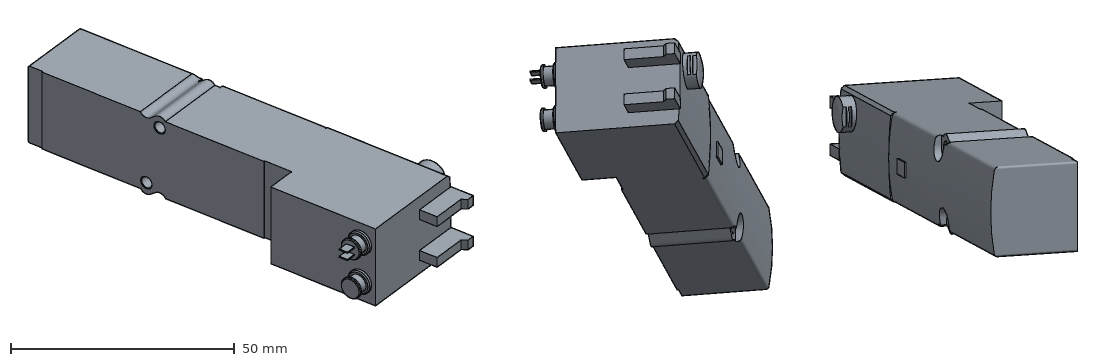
import cadquery as cq
import math


body_length = 102.3
body_height = 20.5
half_height = body_height / 2
front_face_y = 7.5
relief_depth = 0.3
relief_left_end = 4.0
relief_right_start = 65.8
foot_start = 73.2
crown_y = 28.4
cover_edge_y = 27.5
base_edge_y = 27.9
cover_end = 68.8
cover_radius = 1.1
corner_chamfer = 0.8
end_radius = 0.5

upper_hole_x = 36.8
lower_hole_x = 33.1
hole_offset_z = 8.0
hole_diameter = 2.8
hole_mouth_diameter = 3.1
head_slot_width = 6.1
head_slot_floor_y = 26.1
bump_radius = 2.0
bump_tip_z = 11.1
notch_floor_z = 9.3

latch_offset_z = 5.4
latch_height = 2.6
latch_stem_x = 107.2
latch_tip_x = 108.5
latch_front_y = 16.6
latch_lip_y = 26.5
latch_slope_y = 25.6

connector_z = 5.2
front_connector_x = 98.2
flange_diameter = 6.1
flange_thickness = 1.0
flange_chamfer = 0.3
neck_diameter = 4.5
cap_diameter = 5.3
cap_start = 3.3
cap_end = 3.9
cap_chamfer = 0.2
blade_tip = 6.5
blade_width = 2.3
blade_thickness = 0.3
blade_offset_z = 1.0

plug_x = 94.9
plug_diameter = 8.1
plug_top_y = 31.7
plug_top_diameter = 5.3
plug_bevel = 0.4
plug_flat_width = 4.6
plug_flat_start_y = 30.5
plug_groove_y = 30.0
plug_groove_width = 0.7

window_x = 59.7
window_z = -0.8
window_length = 5.0
window_height = 3.6
window_top_y = 28.8

overlap = 1.1


def box(x_range, y_range, z_range):
    """Axis-aligned box from its limits along X, Y and Z."""
    size = [high - low for low, high in (x_range, y_range, z_range)]
    corner = (x_range[0], y_range[0], z_range[0])
    return cq.Workplane("XY").box(*size, centered=False).translate(corner)


def cylinder_along_y(x, z, diameter, y_start, y_end):
    """Cylinder with its axis along Y."""
    base = cq.Workplane("XZ", origin=(x, y_start, z))
    return base.circle(diameter / 2).extrude(y_start - y_end)


def housing_section(x_start, x_end, edge_y):
    """Housing stretch with flat front and sides and a slightly crowned back."""
    return (
        cq.Workplane("YZ", origin=(x_start, 0, 0))
        .moveTo(0, -half_height)
        .lineTo(edge_y, -half_height)
        .threePointArc((crown_y, 0), (edge_y, half_height))
        .lineTo(0, half_height)
        .close()
        .extrude(x_end - x_start)
    )


def housing():
    """Crowned housing cut to its stepped front outline."""
    cover = housing_section(0, cover_end, cover_edge_y)
    cover = cover.faces(">Z or <Z").edges("|X and >Y").fillet(cover_radius)
    base = housing_section(cover_end, body_length, base_edge_y)
    base = base.faces(">Z or <Z").edges("|X and >Y").chamfer(corner_chamfer)
    relief_y = front_face_y + relief_depth
    front_outline = (
        cq.Workplane("XY")
        .polyline([
            (0, relief_y),
            (relief_left_end, relief_y),
            (relief_left_end, front_face_y),
            (relief_right_start, front_face_y),
            (relief_right_start, relief_y),
            (foot_start, relief_y),
            (foot_start, 0),
            (body_length, 0),
            (body_length, crown_y + overlap),
            (0, crown_y + overlap),
        ])
        .close()
        .extrude(half_height, both=True)
    )
    return cover.union(base).intersect(front_outline)


def end_rounding():
    """Sliver whose removal rounds the top edge of the -X end."""
    start_z = half_height - end_radius
    diagonal = end_radius * math.sqrt(0.5)
    return (
        cq.Workplane("XZ")
        .moveTo(0, start_z)
        .threePointArc((end_radius - diagonal, start_z + diagonal), (end_radius, half_height))
        .lineTo(0, half_height)
        .close()
        .extrude(-crown_y)
    )


def interlock_points():
    """Tangent points (X, Z) and side crossings (X) of the upper notch and bump."""
    notch_center = (lower_hole_x, notch_floor_z + bump_radius)
    bump_center = (upper_hole_x, bump_tip_z - bump_radius)
    run = bump_center[0] - notch_center[0]
    drop = notch_center[1] - bump_center[1]
    slope = math.asin(2 * bump_radius / math.hypot(run, drop)) - math.atan2(drop, run)
    shift = (bump_radius * math.sin(slope), bump_radius * math.cos(slope))
    notch_tangent = (notch_center[0] + shift[0], notch_center[1] - shift[1])
    bump_tangent = (bump_center[0] - shift[0], bump_center[1] + shift[1])
    notch_edge_x = notch_center[0] - math.sqrt(bump_radius**2 - (notch_center[1] - half_height) ** 2)
    bump_edge_x = bump_center[0] + math.sqrt(bump_radius**2 - (half_height - bump_center[1]) ** 2)
    return notch_tangent, bump_tangent, notch_edge_x, bump_edge_x


def interlock_profile():
    """Material that fills the interlock zone of the upper side, up to its wavy outline."""
    notch_tangent, bump_tangent, notch_edge_x, bump_edge_x = interlock_points()
    return (
        cq.Workplane("XZ", origin=(0, front_face_y, 0))
        .moveTo(notch_edge_x, hole_offset_z)
        .lineTo(notch_edge_x, half_height)
        .threePointArc((lower_hole_x, notch_floor_z), notch_tangent)
        .lineTo(*bump_tangent)
        .threePointArc((upper_hole_x, bump_tip_z), (bump_edge_x, half_height))
        .lineTo(bump_edge_x, hole_offset_z)
        .close()
    )


def half_turn(shape):
    """Second copy of an upper-side feature, turned to the lower side between the two holes."""
    middle_x = (upper_hole_x + lower_hole_x) / 2
    return shape.rotate((middle_x, 0, 0), (middle_x, 1, 0), 180)


def notch_cut():
    """Removes the outer side between the notch edge and the bump, down to the wavy outline."""
    notch_edge_x, bump_edge_x = interlock_points()[2:]
    slab = box((notch_edge_x, bump_edge_x), (0, crown_y + overlap), (hole_offset_z, bump_tip_z))
    return slab.cut(interlock_profile().extrude(-crown_y))


def mounting_hole():
    """Through hole with a small front bevel and an open-sided round slot at the back."""
    back = crown_y + overlap
    bore = cylinder_along_y(upper_hole_x, hole_offset_z, hole_diameter, 0, back)
    half_slot = head_slot_width / 2
    head_slot = cylinder_along_y(
        upper_hole_x, hole_offset_z, head_slot_width, head_slot_floor_y, back
    )
    slot_opening = box(
        (upper_hole_x - half_slot, upper_hole_x + half_slot),
        (head_slot_floor_y, back),
        (hole_offset_z, bump_tip_z),
    )
    mouth_bevel = (hole_mouth_diameter - hole_diameter) / 2
    mouth = cylinder_along_y(
        upper_hole_x,
        hole_offset_z,
        hole_mouth_diameter,
        front_face_y - mouth_bevel,
        front_face_y + mouth_bevel,
    )
    mouth = mouth.faces(">Y").chamfer(mouth_bevel)
    return bore.union(head_slot).union(slot_opening).union(mouth)


def latch(z):
    """Hooked latch on the +X end, centred at height z."""
    return (
        cq.Workplane("XY", origin=(0, 0, z - latch_height / 2))
        .polyline([
            (body_length - overlap, latch_front_y),
            (latch_stem_x, latch_front_y),
            (latch_stem_x, latch_slope_y),
            (latch_tip_x, latch_lip_y),
            (latch_tip_x, crown_y),
            (body_length, crown_y),
            (body_length - overlap, latch_front_y + overlap),
        ])
        .close()
        .extrude(latch_height)
    )


def front_connector(z):
    """Flanged round connector on the front of the foot."""
    x = front_connector_x
    flange = cylinder_along_y(x, z, flange_diameter, -flange_thickness, overlap)
    flange = flange.faces("<Y").chamfer(flange_chamfer)
    neck = cylinder_along_y(x, z, neck_diameter, -cap_end, 0)
    cap = cylinder_along_y(x, z, cap_diameter, -cap_end, -cap_start)
    cap = cap.faces("<Y").chamfer(cap_chamfer)
    return flange.union(neck).union(cap)


def contact_blade(z):
    """Flat contact blade that sticks out of the upper front connector."""
    return box(
        (front_connector_x - blade_width / 2, front_connector_x + blade_width / 2),
        (-blade_tip, -cap_start),
        (z - blade_thickness / 2, z + blade_thickness / 2),
    )


def back_plug():
    """Round plug on the back with a bevelled end, two flats and a groove below each flat."""
    radius = plug_diameter / 2
    top_radius = plug_top_diameter / 2
    plug = (
        cq.Workplane("XY")
        .polyline([
            (0, base_edge_y - overlap),
            (radius, base_edge_y - overlap),
            (radius, plug_top_y - plug_bevel),
            (top_radius, plug_top_y),
            (0, plug_top_y),
        ])
        .close()
        .revolve(360, (0, 0, 0), (0, 1, 0))
    )
    half_width = plug_flat_width / 2
    flat_x = math.sqrt(radius**2 - half_width**2)
    z_range = (-half_width, half_width)
    flat = box((flat_x, radius), (plug_flat_start_y, plug_top_y), z_range)
    groove = box(
        (flat_x, radius),
        (plug_groove_y - plug_groove_width, plug_groove_y),
        z_range,
    )
    side_cut = flat.union(groove)
    plug = plug.cut(side_cut).cut(side_cut.mirror("YZ"))
    return plug.translate((plug_x, 0, connector_z))


def window():
    """Shallow raised window on the back."""
    return box(
        (window_x - window_length / 2, window_x + window_length / 2),
        (crown_y - overlap, window_top_y),
        (window_z - window_height / 2, window_z + window_height / 2),
    )


result = housing()
result = result.cut(end_rounding()).cut(end_rounding().mirror("XY"))

bump = interlock_profile().extrude(front_face_y - head_slot_floor_y)
result = result.cut(notch_cut()).cut(half_turn(notch_cut()))
result = result.union(bump).union(half_turn(bump))
result = result.cut(mounting_hole()).cut(half_turn(mounting_hole()))

for side in (1, -1):
    result = result.union(latch(side * latch_offset_z))
    result = result.union(front_connector(side * connector_z))
    result = result.union(contact_blade(connector_z + side * blade_offset_z))

result = result.union(back_plug()).union(window())